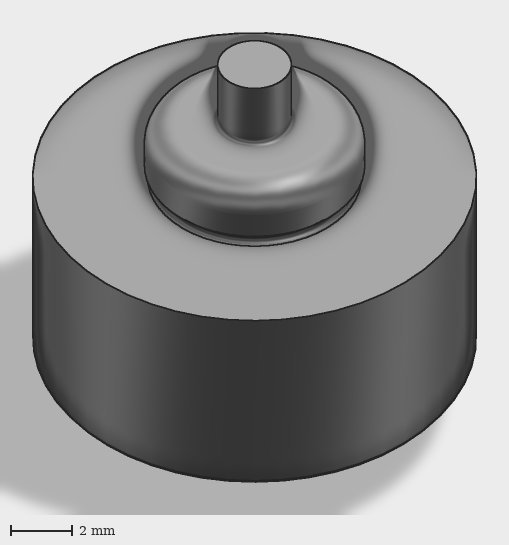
import cadquery as cq
import math

BODY_RADIUS = 7.25
TOTAL_HEIGHT = 14.43
CONE_ANGLE = 20.0
RIM_CHAMFER = 0.1

CAP_RADIUS = 7.2 / 2
CAP_HEIGHT = 2.42
CAP_ROUNDING = 1.0
CAP_CHAMFER = 0.3
PIN_RADIUS = 2.4 / 2
PIN_LENGTH = 2.39
FOOT_FILLET = 0.2

CONE_SLOPE = math.radians(CONE_ANGLE)
CONE_RADIUS = BODY_RADIUS - RIM_CHAMFER * math.cos(CONE_SLOPE)
CONE_TOP = CONE_RADIUS * math.tan(CONE_SLOPE)
RIM_TOP = BODY_RADIUS * math.tan(CONE_SLOPE) + RIM_CHAMFER
CAP_TOP = TOTAL_HEIGHT - PIN_LENGTH
BODY_TOP = CAP_TOP - CAP_HEIGHT
NECK_RADIUS = CAP_RADIUS - CAP_CHAMFER
NECK_TOP = BODY_TOP + FOOT_FILLET


def revolve_about_z(profile):
    """Turn a closed (radius, height) profile one full turn about Z."""
    return profile.close().revolve(360, (0, 0, 0), (0, 1, 0))


def add_foot_fillet(profile, shaft_radius, base_height):
    """Add the concave quarter arc that runs down a shaft and out onto the face below it."""
    offset = FOOT_FILLET * (1 - math.sqrt(0.5))
    middle = (shaft_radius + offset, base_height + offset)
    end = (shaft_radius + FOOT_FILLET, base_height)
    return profile.threePointArc(middle, end)


def make_tipped_body():
    """Cylinder with a narrow chamfered rim and a conical point underneath."""
    profile = (
        cq.Workplane("XZ")
        .moveTo(0, 0)
        .lineTo(CONE_RADIUS, CONE_TOP)
        .lineTo(BODY_RADIUS, RIM_TOP)
        .lineTo(BODY_RADIUS, BODY_TOP)
        .lineTo(0, BODY_TOP)
    )
    return revolve_about_z(profile)


def make_plug():
    """Pin and round-edged cap in one piece, standing on the flat top of the body."""
    profile = (
        cq.Workplane("XZ")
        .moveTo(0, BODY_TOP)
        .lineTo(0, TOTAL_HEIGHT)
        .lineTo(PIN_RADIUS, TOTAL_HEIGHT)
        .lineTo(PIN_RADIUS, CAP_TOP + FOOT_FILLET)
    )
    profile = add_foot_fillet(profile, PIN_RADIUS, CAP_TOP)

    shoulder_radius = CAP_RADIUS - CAP_ROUNDING
    rounding_bottom = CAP_TOP - CAP_ROUNDING
    diagonal = CAP_ROUNDING * math.sqrt(0.5)
    profile = (
        profile
        .lineTo(shoulder_radius, CAP_TOP)
        .threePointArc(
            (shoulder_radius + diagonal, rounding_bottom + diagonal),
            (CAP_RADIUS, rounding_bottom),
        )
    )

    profile = (
        profile
        .lineTo(CAP_RADIUS, NECK_TOP + CAP_CHAMFER)
        .lineTo(NECK_RADIUS, NECK_TOP)
    )
    profile = add_foot_fillet(profile, NECK_RADIUS, BODY_TOP)
    return revolve_about_z(profile)


tipped_body = make_tipped_body()
plug = make_plug()

result = cq.Compound.makeCompound([tipped_body.val(), plug.val()])